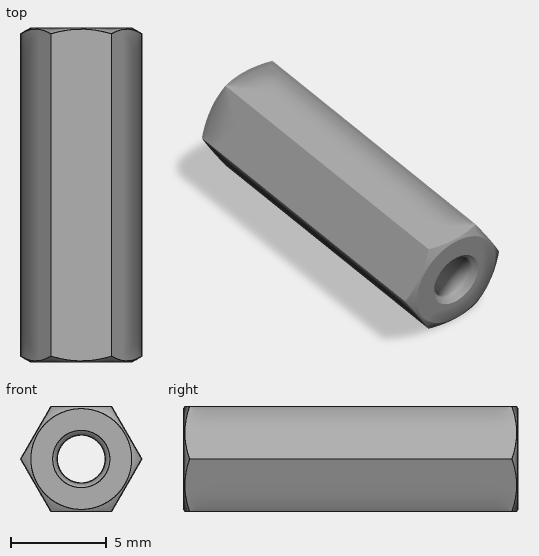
import cadquery as cq
import math

length = 17.5
across_flats = 5.5
across_corners = across_flats / math.cos(math.radians(30))

end_face_diameter = 5.28
corner_chamfer_angle = 30

bore_diameter = 2.5
mouth_diameter = 3.0
mouth_angle = 45


def hexagonal_bar():
    """Hexagonal prism centred on the origin, two corners on the X axis."""
    return (
        cq.Workplane("XZ")
        .polygon(6, across_corners)
        .extrude(length / 2, both=True)
    )


def revolved_about_y(half_profile):
    """Solid of revolution about Y from (radius, y) points."""
    return cq.Workplane("XY").polyline(half_profile).close().revolve(360, (0, 0), (0, 1))


def corner_envelope():
    """Round bar with conical ends that trims the hexagon corners."""
    half_length = length / 2
    end_radius = end_face_diameter / 2
    outer_radius = across_corners
    cone_depth = (outer_radius - end_radius) * math.tan(math.radians(corner_chamfer_angle))
    cone_base = half_length - cone_depth
    return revolved_about_y([
        (0, -half_length),
        (end_radius, -half_length),
        (outer_radius, -cone_base),
        (outer_radius, cone_base),
        (end_radius, half_length),
        (0, half_length),
    ])


def countersunk_bore():
    """Through bore that widens to the mouth diameter at both ends."""
    half_length = length / 2
    bore_radius = bore_diameter / 2
    mouth_radius = mouth_diameter / 2
    mouth_depth = (mouth_radius - bore_radius) / math.tan(math.radians(mouth_angle))
    mouth_base = half_length - mouth_depth
    return revolved_about_y([
        (0, -half_length),
        (mouth_radius, -half_length),
        (bore_radius, -mouth_base),
        (bore_radius, mouth_base),
        (mouth_radius, half_length),
        (0, half_length),
    ])


result = hexagonal_bar().intersect(corner_envelope()).cut(countersunk_bore())